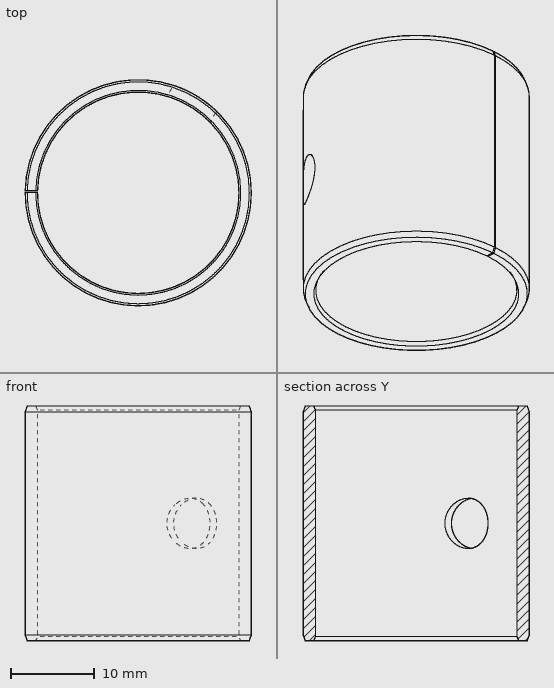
import cadquery as cq

length = 28.0
outer_diameter = 27.0
inner_diameter = 24.0

outer_chamfer_length = 0.7
outer_chamfer_depth = 0.25
inner_chamfer_length = 0.5
inner_chamfer_depth = 0.22

slit_width = 0.2
slit_center_y = 0.15

oil_hole_diameter = 6.0
oil_hole_angle = 59.0
oil_hole_height = length / 2

outer_radius = outer_diameter / 2
inner_radius = inner_diameter / 2


def make_sleeve():
    """Revolve the wall section, chamfered at its four corners."""
    outer_end_radius = outer_radius - outer_chamfer_depth
    inner_end_radius = inner_radius + inner_chamfer_depth
    section = [
        (inner_end_radius, 0),
        (outer_end_radius, 0),
        (outer_radius, outer_chamfer_length),
        (outer_radius, length - outer_chamfer_length),
        (outer_end_radius, length),
        (inner_end_radius, length),
        (inner_radius, length - inner_chamfer_length),
        (inner_radius, inner_chamfer_length),
    ]
    return cq.Workplane("XZ").polyline(section).close().revolve(360, (0, 0, 0), (0, 1, 0))


def make_slit():
    """Box running from the axis out past the wall on -X, over the full length."""
    return (
        cq.Workplane("XY")
        .box(outer_diameter, slit_width, length, centered=(True, True, False))
        .translate((-outer_radius, slit_center_y, 0))
    )


def make_oil_hole():
    """Cylinder running from the axis out past the wall."""
    return (
        cq.Workplane("YZ")
        .center(0, oil_hole_height)
        .circle(oil_hole_diameter / 2)
        .extrude(outer_diameter)
        .rotate((0, 0, 0), (0, 0, 1), oil_hole_angle)
    )


result = make_sleeve().cut(make_slit()).cut(make_oil_hole())